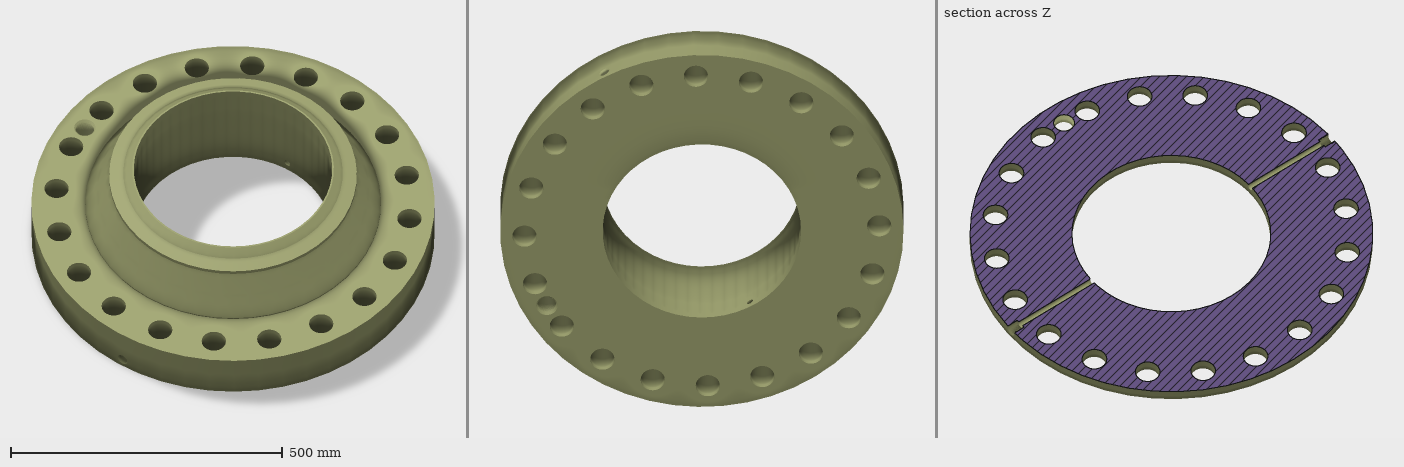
import cadquery as cq

flange_diameter = 743.0
flange_height = 91.0
bore_diameter = 365.5

total_height = 192.5
hub_base_diameter = 545.0
hub_top_diameter = 456.0
hub_foot_height = 2.0
hub_lip_bottom = 168.0
hub_lip_top = 175.0
bevel_corner_diameter = 404.0
bevel_corner_height = 180.5
weld_land_width = 3.0

bolt_count = 20
bolt_circle_diameter = 654.0
bolt_hole_diameter = 44.5

jack_hole_offset = 326.0
jack_minor_diameter = 35.0
jack_major_diameter = 39.5
jack_turns = 28

tap_height = 18.5
tap_drill_diameter = 13.0
tap_minor_diameter = 18.0
tap_major_diameter = 22.0
tap_pitch = 1.85
tap_turns = 12


def flange_body():
    """Flange, hub and weld end turned as one half profile, with the bore left open."""
    bore_radius = bore_diameter / 2
    profile = [
        (bore_radius, 0),
        (flange_diameter / 2, 0),
        (flange_diameter / 2, flange_height),
        (hub_base_diameter / 2, flange_height),
        (hub_base_diameter / 2, flange_height + hub_foot_height),
        (hub_top_diameter / 2, hub_lip_bottom),
        (hub_top_diameter / 2, hub_lip_top),
        (bevel_corner_diameter / 2, bevel_corner_height),
        (bore_radius + weld_land_width, total_height),
        (bore_radius, total_height),
    ]
    return cq.Workplane("XZ").polyline(profile).close().revolve(360, (0, 0), (0, 1))


def bolt_holes():
    half_step = 180 / bolt_count
    return (
        cq.Workplane("XY")
        .polarArray(bolt_circle_diameter / 2, half_step, 360, bolt_count)
        .circle(bolt_hole_diameter / 2)
        .extrude(flange_height)
    )


def thread_cutter(minor_diameter, major_diameter, pitch, turns):
    """Thread simplified to V grooves, standing on the XY plane, with both mouths at full width."""
    minor_radius = minor_diameter / 2
    major_radius = major_diameter / 2
    length = turns * pitch
    outline = [(0, 0), (major_radius, 0)]
    for turn in range(turns):
        outline.append((minor_radius, (turn + 0.5) * pitch))
        outline.append((major_radius, (turn + 1) * pitch))
    outline.append((0, length))
    return cq.Workplane("XZ").polyline(outline).close().revolve(360, (0, 0), (0, 1))


def jack_hole():
    pitch = flange_height / jack_turns
    thread = thread_cutter(jack_minor_diameter, jack_major_diameter, pitch, jack_turns)
    return thread.translate((-jack_hole_offset, 0, 0))


def pressure_taps():
    """Two opposite radial drillings along Y, each threaded at the rim."""
    rim_radius = flange_diameter / 2
    taps = (
        cq.Workplane("XZ", origin=(0, rim_radius, tap_height))
        .circle(tap_drill_diameter / 2)
        .extrude(flange_diameter)
    )
    thread = thread_cutter(tap_minor_diameter, tap_major_diameter, tap_pitch, tap_turns)
    front_thread = thread.rotate((0, 0, 0), (1, 0, 0), -90).translate((0, -rim_radius, tap_height))
    back_thread = front_thread.mirror("XZ")
    return taps.union(front_thread).union(back_thread)


result = flange_body().cut(bolt_holes()).cut(jack_hole()).cut(pressure_taps())